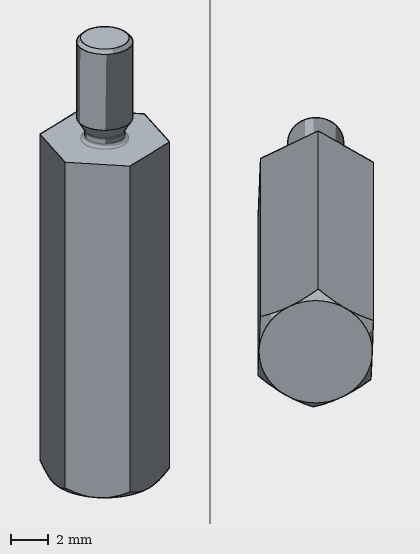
import cadquery as cq
import math

total_height = 26.0
hex_height = 20.0
across_flats = 6.0
across_corners = across_flats / math.cos(math.pi / 6)

stud_radius = 3.0 / 2
neck_radius = 2.13 / 2
stud_chamfer = 0.2
neck_fillet = 0.2
neck_height = 0.55
neck_taper_height = 0.7
taper_angle = math.atan((stud_radius - neck_radius) / neck_taper_height)

bottom_face_radius = across_flats / 2
chamfer_angle = math.radians(45)
chamfer_height = (across_corners / 2 - bottom_face_radius) * math.tan(chamfer_angle)


def hex_body():
    """Hexagonal bar, its bottom corners cut back by a cone."""
    bar = cq.Workplane("XY").polygon(6, across_corners).extrude(hex_height)
    corner_radius = across_corners / 2
    turned_envelope = (
        cq.Workplane("XZ")
        .lineTo(bottom_face_radius, 0)
        .lineTo(corner_radius, chamfer_height)
        .lineTo(corner_radius, hex_height)
        .lineTo(0, hex_height)
        .close()
        .revolve(360, (0, 0, 0), (0, 1, 0))
    )
    return bar.intersect(turned_envelope)


def stud():
    """Stud of revolution: neck with a fillet at both ends, taper, full shank and top chamfer."""
    neck_top = hex_height + neck_height
    blend_length = neck_fillet * math.tan(taper_angle / 2)
    blend_end = (
        neck_radius + blend_length * math.sin(taper_angle),
        neck_top + blend_length * math.cos(taper_angle),
    )
    return (
        cq.Workplane("XZ")
        .moveTo(0, hex_height)
        .lineTo(neck_radius + neck_fillet, hex_height)
        .radiusArc((neck_radius, hex_height + neck_fillet), neck_fillet)
        .lineTo(neck_radius, neck_top - blend_length)
        .radiusArc(blend_end, neck_fillet)
        .lineTo(stud_radius, neck_top + neck_taper_height)
        .lineTo(stud_radius, total_height - stud_chamfer)
        .lineTo(stud_radius - stud_chamfer, total_height)
        .lineTo(0, total_height)
        .close()
        .revolve(360, (0, 0, 0), (0, 1, 0))
    )


result = hex_body().union(stud())